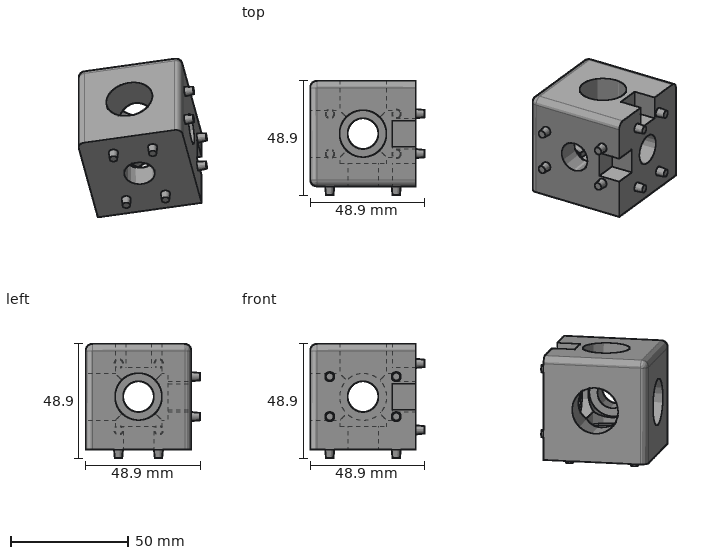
import cadquery as cq
import math

overall_size = 48.85
pin_length = 3.7
cube_side = overall_size - pin_length
half_side = cube_side / 2
edge_radius = 2.95

socket_diameter = 20.05
bore_diameter = 13.0
wall_thickness = 10.0

notch_width = 11.05
notch_depth = wall_thickness

pin_base_diameter = 4.0
pin_tip_diameter = 3.25
pin_taper = math.degrees(math.atan((pin_base_diameter - pin_tip_diameter) / 2 / pin_length))
pin_long_spacing = 28.4
pin_short_spacing = 17.05


def face_plane(normal, x_direction):
    """Plane on the cube face whose outward direction is normal."""
    origin = tuple(half_side * component for component in normal)
    return cq.Plane(origin=origin, xDir=x_direction, normal=normal)


front = face_plane((0, -1, 0), (1, 0, 0))
bottom = face_plane((0, 0, -1), (1, 0, 0))
right_side = face_plane((1, 0, 0), (0, 0, 1))
left_side = face_plane((-1, 0, 0), (0, 0, 1))
back = face_plane((0, 1, 0), (1, 0, 0))
top = face_plane((0, 0, 1), (1, 0, 0))


def rounded_cube():
    """Cube rounded on the edges that do not border the right side or bottom."""
    cube = cq.Workplane("XY").box(cube_side, cube_side, cube_side)
    return cube.edges("(not >X) and (not <Z)").fillet(edge_radius)


def socket_bore(plane):
    """Wide socket that narrows to a bore in the opposite wall."""
    socket = cq.Workplane(plane).circle(socket_diameter / 2).extrude(wall_thickness - cube_side)
    bore = cq.Workplane(plane).circle(bore_diameter / 2).extrude(-cube_side)
    return socket.union(bore)


def notch(plane):
    """Blind square-sided notch open to the right side and to the given face."""
    return (
        cq.Workplane(plane)
        .center(half_side - notch_depth / 2, 0)
        .rect(notch_depth, notch_width)
        .extrude(-notch_depth)
    )


def pins(plane):
    """Four tapered pins standing on a face."""
    return (
        cq.Workplane(plane)
        .rarray(pin_long_spacing, pin_short_spacing, 2, 2)
        .circle(pin_base_diameter / 2)
        .extrude(pin_length, taper=pin_taper)
    )


result = rounded_cube()

for socket_face in (left_side, back, top):
    result = result.cut(socket_bore(socket_face))

for notched_face in (front, top):
    result = result.cut(notch(notched_face))

for pinned_face in (front, bottom, right_side):
    result = result.union(pins(pinned_face))